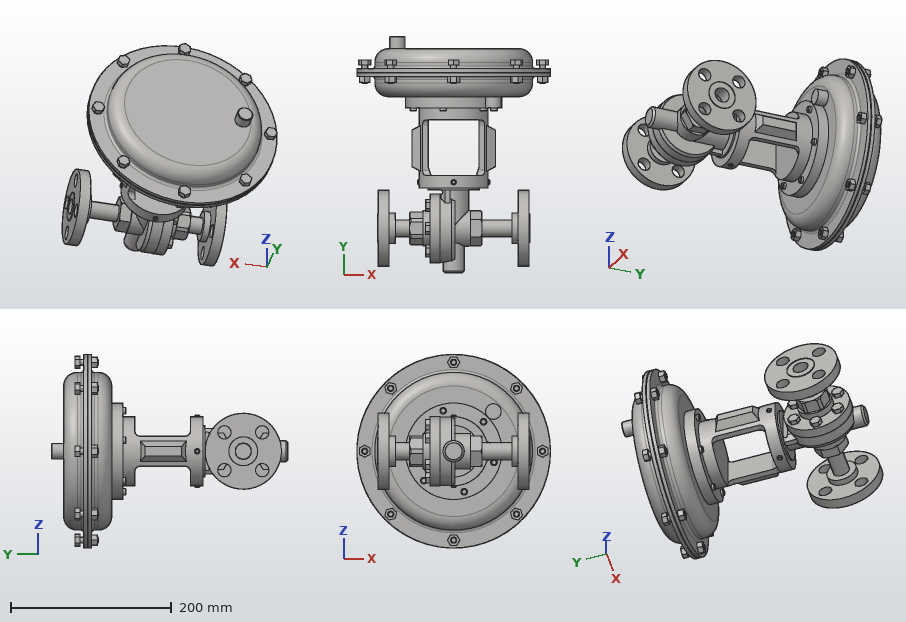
import cadquery as cq
import math


CASE_MID_Y = 193.5
CASE_HALF_DEPTH = 30.0
CASE_RADIUS = 98.3
CASE_CORNER_RADIUS = 17.0
RIM_RADIUS = 120.5
RIM_HALF_THICKNESS = 5.0
RIM_ROOT_RADIUS = 3.2
SEAM_WIDTH = 1.0
SEAM_DEPTH = 0.5
CASE_FRONT_Y = CASE_MID_Y - CASE_HALF_DEPTH
CASE_BACK_Y = CASE_MID_Y + CASE_HALF_DEPTH
RIM_FRONT_Y = CASE_MID_Y - RIM_HALF_THICKNESS
RIM_BACK_Y = CASE_MID_Y + RIM_HALF_THICKNESS

RIM_BOLT_COUNT = 8
RIM_BOLT_CIRCLE_RADIUS = 110.5
RIM_BOLT_RADIUS = 3.8
RIM_BOLT_FLATS = 13.2
RIM_BOLT_HEAD_HEIGHT = 6.5
RIM_BOLT_HEAD_GAP = 4.5
RIM_NUT_HEIGHT = 7.0
RIM_NUT_TURN = 30
RIM_BOLT_TIP = 1.5
RIM_BOLT_TIP_CHAMFER = 1.0

PORT_RADIUS = 9.7
BACK_PORT_X = -70.0
BACK_PORT_END_Y = 238.5
BACK_PORT_CHAMFER = 1.0
FRONT_PORT_OFFSET = 49.5

PLATE_RADIUS = 60.0
PLATE_FRONT_Y = 149.8
PLATE_SCREW_COUNT = 6
PLATE_SCREW_START_ANGLE = 44.5
PLATE_SCREW_CIRCLE_RADIUS = 52.0
PLATE_SCREW_RADIUS = 4.0
PLATE_SCREW_HEIGHT = 4.0
SCREW_CHAMFER = 1.2

YOKE_RADIUS = 43.0
YOKE_FRONT_Y = 50.0
WINDOW_FRONT_Y = 66.0
WINDOW_BACK_Y = 134.8
WINDOW_HALF_WIDTH = 31.5
WINDOW_TAPER_LENGTH = 10.5
WINDOW_TAPER_WIDTH = 3.2
ARM_HALF_HEIGHT = 18.8
ARM_CORNER_RADIUS = 6.5
PAD_OUTER_X = 52.0
PAD_INNER_X = 35.3
PAD_MID_Y = 99.5
PAD_OUTER_LENGTH = 45.5
PAD_OUTER_HEIGHT = 12.0
PAD_SLOPE_Y = 0.53
PAD_SLOPE_Z = 0.6
SET_SCREW_Y = 57.5
SET_SCREW_COUNT = 4
SET_SCREW_RADIUS = 3.2
SET_SCREW_END = 45.0
SPIGOT_RADIUS = 32.0
SPIGOT_FRONT_Y = 48.0

COVER_LEFT_X = -29.0
COVER_JOINT_X = -16.8
BODY_RIGHT_X = 1.5
COVER_RADIUS = 43.0
BODY_RADIUS = 42.7
BODY_BEVEL_LENGTH = 4.5
BODY_BEVEL_DROP = 2.0
NECK_BLOCK_SIDE_X = -16.0
NECK_RADIUS = 22.7
NECK_X = -3.8
NECK_BLOCK_RIGHT_X = -4.5
NECK_BLOCK_TOP_X = -10.5
NECK_BLOCK_HALF_HEIGHT = 28.5
NECK_BLOCK_SIDE_HALF_HEIGHT = 21.5
NECK_GROOVE_RADIUS = 3.0
NECK_GROOVE_Y = 45.0
DRAIN_RADIUS = 13.2
DRAIN_END_Y = -55.5
DRAIN_CHAMFER = 2.6
BOSS_RADIUS = 22.5
OUTLET_END_X = 21.0
INLET_END_X = -38.0

COVER_BOLT_COUNT = 6
COVER_BOLT_START_ANGLE = 30
COVER_BOLT_CIRCLE_RADIUS = 33.0
COVER_BOLT_FLATS = 13.0
COVER_BOLT_HEIGHT = 6.0

UNION_FLATS = 38.0
INLET_UNION_END_X = -54.7
INLET_UNION_CORNER_RADIUS = 20.5
OUTLET_UNION_END_X = 35.0
UNION_CHAMFER = 1.5
PIPE_RADIUS = 10.5
BORE_RADIUS = 9.7
HUB_RADIUS = 19.0
HUB_INNER_X = 72.5
FLANGE_RADIUS = 47.5
FLANGE_INNER_X = 80.3
FLANGE_OUTER_X = 94.0
FACE_RADIUS = 18.0
FACE_X = 94.8
FLANGE_HOLE_COUNT = 4
FLANGE_HOLE_START_ANGLE = 45
FLANGE_HOLE_CIRCLE_RADIUS = 33.3
FLANGE_HOLE_RADIUS = 8.2


def y_plane(y):
    """Plane facing +Y whose local axes are -X and Z."""
    return cq.Workplane(cq.Plane((0, y, 0), (-1, 0, 0), (0, 1, 0)))


def x_plane(x):
    """Plane facing +X whose local axes are Y and Z."""
    return cq.Workplane("YZ", origin=(x, 0, 0))


def y_rod(radius, start_y, end_y, x=0, z=0):
    return y_plane(start_y).center(-x, z).circle(radius).extrude(end_y - start_y)


def x_rod(radius, start_x, end_x):
    return x_plane(start_x).circle(radius).extrude(end_x - start_x)


def hexagon(workplane, flats, height, turn=0):
    """Hexagonal prism; at zero turn two of its corners lie on the local x axis."""
    diameter = flats / math.cos(math.pi / 6)
    return workplane.transformed(rotate=(0, 0, turn)).polygon(6, diameter).extrude(height)


def around_y(feature, count, start_angle=0):
    """Copies of a feature spread evenly around the Y axis, turning from +X towards +Z."""
    copies = [
        feature.rotate((0, 0, 0), (0, 1, 0), -(start_angle + i * 360 / count)).val() for i in range(count)
    ]
    return cq.Workplane().newObject(copies)


def diaphragm_case():
    half = half_case()
    case = half.union(half.mirror("XZ"))
    seam = y_rod(RIM_RADIUS, -SEAM_WIDTH / 2, SEAM_WIDTH / 2).cut(
        y_rod(RIM_RADIUS - SEAM_DEPTH, -SEAM_WIDTH / 2, SEAM_WIDTH / 2)
    )
    return case.cut(seam).translate((0, CASE_MID_Y, 0))


def half_case():
    """Half of the case from its mid plane to its back face."""
    root_center_y = RIM_HALF_THICKNESS + RIM_ROOT_RADIUS
    corner_y = CASE_HALF_DEPTH - CASE_CORNER_RADIUS
    diagonal = math.sqrt(0.5)
    root_reach = RIM_ROOT_RADIUS * (1 - diagonal)
    corner_reach = CASE_CORNER_RADIUS * (1 - diagonal)
    profile = (
        cq.Workplane("XY")
        .lineTo(RIM_RADIUS, 0)
        .lineTo(RIM_RADIUS, RIM_HALF_THICKNESS)
        .lineTo(CASE_RADIUS + RIM_ROOT_RADIUS, RIM_HALF_THICKNESS)
        .threePointArc(
            (CASE_RADIUS + root_reach, RIM_HALF_THICKNESS + root_reach), (CASE_RADIUS, root_center_y)
        )
        .lineTo(CASE_RADIUS, corner_y)
        .threePointArc(
            (CASE_RADIUS - corner_reach, CASE_HALF_DEPTH - corner_reach),
            (CASE_RADIUS - CASE_CORNER_RADIUS, CASE_HALF_DEPTH),
        )
        .lineTo(0, CASE_HALF_DEPTH)
        .close()
    )
    return profile.revolve(360, (0, 0, 0), (0, 1, 0))


def rim_bolts():
    head_y = RIM_BACK_Y + RIM_BOLT_HEAD_GAP
    nut_front_y = RIM_FRONT_Y - RIM_NUT_HEIGHT
    head = hexagon(y_plane(head_y), RIM_BOLT_FLATS, RIM_BOLT_HEAD_HEIGHT)
    nut = hexagon(y_plane(nut_front_y), RIM_BOLT_FLATS, RIM_NUT_HEIGHT, turn=RIM_NUT_TURN)
    shank = y_rod(RIM_BOLT_RADIUS, nut_front_y - RIM_BOLT_TIP, head_y)
    shank = shank.faces("<Y").chamfer(RIM_BOLT_TIP_CHAMFER)
    bolt = head.union(shank).union(nut).translate((RIM_BOLT_CIRCLE_RADIUS, 0, 0))
    return around_y(bolt, RIM_BOLT_COUNT)


def air_ports():
    back = y_rod(PORT_RADIUS, CASE_BACK_Y, BACK_PORT_END_Y, x=BACK_PORT_X)
    back = back.faces(">Y").chamfer(BACK_PORT_CHAMFER)
    front = y_rod(PORT_RADIUS, PLATE_FRONT_Y, CASE_FRONT_Y, x=FRONT_PORT_OFFSET, z=FRONT_PORT_OFFSET)
    return back.add(front)


def mounting_plate():
    plate = y_rod(PLATE_RADIUS, PLATE_FRONT_Y, CASE_FRONT_Y)
    screw_end_y = PLATE_FRONT_Y - PLATE_SCREW_HEIGHT
    screw = y_rod(PLATE_SCREW_RADIUS, screw_end_y, PLATE_FRONT_Y, x=PLATE_SCREW_CIRCLE_RADIUS)
    screw = screw.faces("<Y").chamfer(SCREW_CHAMFER)
    return plate.union(around_y(screw, PLATE_SCREW_COUNT, PLATE_SCREW_START_ANGLE))


def yoke():
    body = y_rod(YOKE_RADIUS, YOKE_FRONT_Y, PLATE_FRONT_Y)
    window_length = WINDOW_BACK_Y - WINDOW_FRONT_Y
    window_mid_y = (WINDOW_BACK_Y + WINDOW_FRONT_Y) / 2

    for side in (1, -1):
        opening = (
            cq.Workplane("XY")
            .box(2 * YOKE_RADIUS, window_length, YOKE_RADIUS)
            .faces("<Z" if side > 0 else ">Z")
            .edges("|X")
            .fillet(ARM_CORNER_RADIUS)
            .translate((0, window_mid_y, side * (ARM_HALF_HEIGHT + YOKE_RADIUS / 2)))
        )
        body = body.cut(opening)

    narrow_half_width = WINDOW_HALF_WIDTH - WINDOW_TAPER_WIDTH
    taper_y = WINDOW_FRONT_Y + WINDOW_TAPER_LENGTH
    between_arms = (
        cq.Workplane("XY", origin=(0, 0, -YOKE_RADIUS))
        .polyline([
            (-narrow_half_width, WINDOW_FRONT_Y),
            (narrow_half_width, WINDOW_FRONT_Y),
            (WINDOW_HALF_WIDTH, taper_y),
            (WINDOW_HALF_WIDTH, WINDOW_BACK_Y),
            (-WINDOW_HALF_WIDTH, WINDOW_BACK_Y),
            (-WINDOW_HALF_WIDTH, taper_y),
        ])
        .close()
        .extrude(2 * YOKE_RADIUS)
    )
    body = body.cut(between_arms)

    set_screw = x_rod(SET_SCREW_RADIUS, 0, SET_SCREW_END).faces(">X").chamfer(SCREW_CHAMFER)
    body = body.union(around_y(set_screw.translate((0, SET_SCREW_Y, 0)), SET_SCREW_COUNT))
    body = body.union(y_rod(SPIGOT_RADIUS, SPIGOT_FRONT_Y, YOKE_FRONT_Y))
    pad = arm_pad()
    return body.union(pad).union(pad.mirror("YZ"))


def arm_pad():
    """Raised pad on the +X arm, tapering outwards."""
    depth = PAD_OUTER_X - PAD_INNER_X
    base_length = PAD_OUTER_LENGTH + 2 * PAD_SLOPE_Y * depth
    base_height = PAD_OUTER_HEIGHT + 2 * PAD_SLOPE_Z * depth
    return (
        x_plane(PAD_INNER_X)
        .center(PAD_MID_Y, 0)
        .rect(base_length, base_height)
        .workplane(offset=depth)
        .rect(PAD_OUTER_LENGTH, PAD_OUTER_HEIGHT)
        .loft(ruled=True)
    )


def valve_neck():
    """Round neck under the yoke with a chamfered block on its cover side."""
    neck = y_rod(NECK_RADIUS, 0, SPIGOT_FRONT_Y, x=NECK_X)
    beyond_block = cq.Workplane("XY").box(2 * NECK_RADIUS, 2 * SPIGOT_FRONT_Y, 2 * NECK_RADIUS)
    neck = neck.cut(beyond_block.translate((NECK_BLOCK_SIDE_X - NECK_RADIUS, 0, 0)))
    block = (
        cq.Workplane("XZ")
        .polyline([
            (NECK_BLOCK_RIGHT_X, -NECK_BLOCK_HALF_HEIGHT),
            (NECK_BLOCK_RIGHT_X, NECK_BLOCK_HALF_HEIGHT),
            (NECK_BLOCK_TOP_X, NECK_BLOCK_HALF_HEIGHT),
            (NECK_BLOCK_SIDE_X, NECK_BLOCK_SIDE_HALF_HEIGHT),
            (NECK_BLOCK_SIDE_X, -NECK_BLOCK_SIDE_HALF_HEIGHT),
            (NECK_BLOCK_TOP_X, -NECK_BLOCK_HALF_HEIGHT),
        ])
        .close()
        .extrude(-SPIGOT_FRONT_Y)
    )
    groove = (
        cq.Workplane("XY")
        .center(COVER_JOINT_X, NECK_GROOVE_Y)
        .circle(NECK_GROOVE_RADIUS)
        .extrude(NECK_BLOCK_HALF_HEIGHT, both=True)
    )
    return neck.union(block).cut(groove)


def valve_body():
    bevel_angle = math.degrees(math.atan(BODY_BEVEL_DROP / BODY_BEVEL_LENGTH))
    bevel_x = BODY_RIGHT_X - BODY_BEVEL_LENGTH
    bevel = x_plane(bevel_x).circle(BODY_RADIUS).extrude(BODY_BEVEL_LENGTH, taper=bevel_angle)
    body = x_rod(BODY_RADIUS, COVER_JOINT_X, bevel_x).union(bevel)
    cover = x_rod(COVER_RADIUS, COVER_LEFT_X, COVER_JOINT_X)
    drain = y_rod(DRAIN_RADIUS, DRAIN_END_Y, 0).faces("<Y").chamfer(DRAIN_CHAMFER)
    body = body.union(cover).union(valve_neck()).union(drain)
    body = body.union(x_rod(BOSS_RADIUS, 0, OUTLET_END_X))
    body = body.union(x_rod(BOSS_RADIUS, INLET_END_X, COVER_LEFT_X))
    for i in range(COVER_BOLT_COUNT):
        angle = math.radians(COVER_BOLT_START_ANGLE + i * 360 / COVER_BOLT_COUNT)
        y = COVER_BOLT_CIRCLE_RADIUS * math.cos(angle)
        z = COVER_BOLT_CIRCLE_RADIUS * math.sin(angle)
        head = hexagon(x_plane(COVER_LEFT_X).center(y, z), COVER_BOLT_FLATS, -COVER_BOLT_HEIGHT)
        body = body.union(head)
    return body


def unions():
    """Hexagon nuts joining the pipes to the valve body."""
    inlet = hexagon(x_plane(INLET_UNION_END_X), UNION_FLATS, INLET_END_X - INLET_UNION_END_X)
    rounding = x_rod(INLET_UNION_CORNER_RADIUS, INLET_UNION_END_X, INLET_END_X)
    rounding = rounding.faces("<X").chamfer(UNION_CHAMFER)
    corner_radius = UNION_FLATS / 2 / math.cos(math.pi / 6)
    outlet = hexagon(x_plane(OUTLET_END_X), UNION_FLATS, OUTLET_UNION_END_X - OUTLET_END_X)
    chamfered = x_rod(corner_radius, OUTLET_END_X, OUTLET_UNION_END_X).faces(">X").chamfer(UNION_CHAMFER)
    return inlet.intersect(rounding).add(outlet.intersect(chamfered))


def pipe_end(union_end_x):
    """Flanged pipe on the +X side, starting at the end of its union nut."""
    pipe = (
        x_rod(PIPE_RADIUS, union_end_x, HUB_INNER_X)
        .union(x_rod(HUB_RADIUS, HUB_INNER_X, FLANGE_INNER_X))
        .union(x_rod(FLANGE_RADIUS, FLANGE_INNER_X, FLANGE_OUTER_X))
        .union(x_rod(FACE_RADIUS, FLANGE_OUTER_X, FACE_X))
        .cut(x_rod(BORE_RADIUS, union_end_x, FACE_X))
    )
    holes = (
        x_plane(FLANGE_INNER_X)
        .polarArray(FLANGE_HOLE_CIRCLE_RADIUS, FLANGE_HOLE_START_ANGLE, 360, FLANGE_HOLE_COUNT)
        .circle(FLANGE_HOLE_RADIUS)
        .extrude(FLANGE_OUTER_X - FLANGE_INNER_X)
    )
    return pipe.cut(holes)


result = (
    diaphragm_case()
    .union(rim_bolts())
    .union(air_ports())
    .union(mounting_plate())
    .union(yoke())
    .union(valve_body())
    .union(unions())
    .union(pipe_end(OUTLET_UNION_END_X))
    .union(pipe_end(-INLET_UNION_END_X).mirror("YZ"))
)